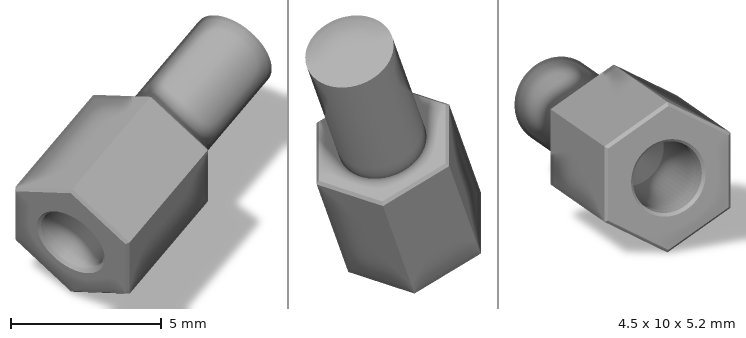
import cadquery as cq
import math

across_flats = 4.5
hex_length = 5.0
hex_chamfer = 0.1
stud_diameter = 3.0
stud_length = 5.0

hole_diameter = 2.46
hole_depth = 3.5
hole_chamfer = 0.1
drill_tip_angle = 118.0

across_corners = across_flats / math.cos(math.radians(30))


def make_hex_body():
    """Hexagonal prism with corners at +Z and -Z and both ends chamfered."""
    body = (
        cq.Workplane("XZ")
        .transformed(rotate=(0, 0, 90))
        .polygon(6, across_corners)
        .extrude(-hex_length)
    )
    return body.faces("<Y or >Y").chamfer(hex_chamfer)


def make_stud():
    """Plain round stud on the far end of the hexagonal body."""
    return (
        cq.Workplane("XZ", origin=(0, hex_length, 0))
        .circle(stud_diameter / 2)
        .extrude(-stud_length)
    )


def make_hole():
    """Revolved cutter: entry chamfer, straight bore and conical tip."""
    radius = hole_diameter / 2
    tip_length = radius / math.tan(math.radians(drill_tip_angle / 2))
    return (
        cq.Workplane("XY")
        .moveTo(0, 0)
        .lineTo(radius + hole_chamfer, 0)
        .lineTo(radius, hole_chamfer)
        .lineTo(radius, hole_depth)
        .lineTo(0, hole_depth + tip_length)
        .close()
        .revolve(360, (0, 0, 0), (0, 1, 0))
    )


result = make_hex_body().union(make_stud()).cut(make_hole())